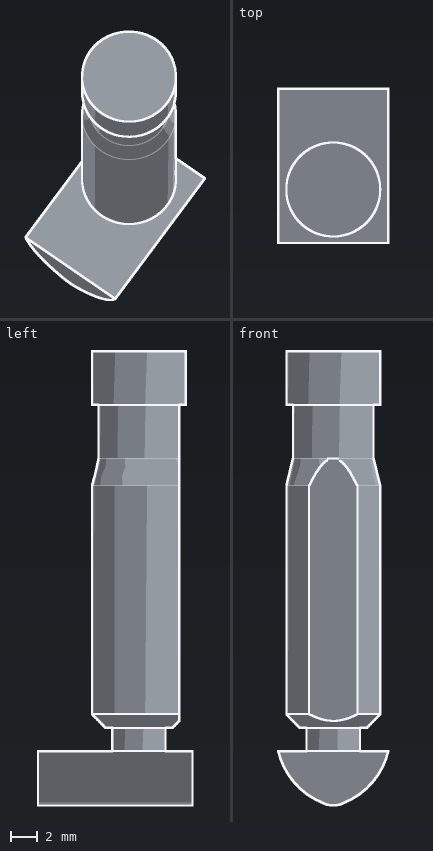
import cadquery as cq

total_height = 33.8
base_height = 4.05
stem_height = 1.72
lower_chamfer_height = 1.0
head_height = 4.0
neck_height = 4.0
shoulder_height = 2.03

body_radius = 7.0 / 2
neck_radius = 3.0
lower_end_radius = 2.5
stem_radius = 2.0

flat_distance = neck_radius

base_width = 8.2
base_length = 11.5
base_front_y = -4.0
tip_half_width = 0.8
tip_rise = 0.2
flank_mid_half_width = 2.65
flank_mid_height = 1.42

body_bottom = base_height + stem_height
chamfer_top = body_bottom + lower_chamfer_height
head_bottom = total_height - head_height
neck_bottom = head_bottom - neck_height
shoulder_bottom = neck_bottom - shoulder_height


def make_pin():
    """Revolve the stem, body, neck and head as one stepped pin."""
    profile = [
        (0, base_height),
        (stem_radius, base_height),
        (stem_radius, body_bottom),
        (lower_end_radius, body_bottom),
        (body_radius, chamfer_top),
        (body_radius, shoulder_bottom),
        (neck_radius, neck_bottom),
        (neck_radius, head_bottom),
        (body_radius, head_bottom),
        (body_radius, total_height),
        (0, total_height),
    ]
    return cq.Workplane("XZ").polyline(profile).close().revolve(360, (0, 0, 0), (0, 1, 0))


def make_flat_cutter():
    """Block that removes the -Y side of the body, below the neck."""
    return cq.Workplane("XY").box(
        2 * body_radius, body_radius, neck_bottom - body_bottom, centered=(True, False, False)
    ).translate((0, -flat_distance - body_radius, body_bottom))


def make_base():
    """Keel with a flat top, two curved flanks and a rounded tip."""
    half_width = base_width / 2
    return (
        cq.Workplane("XZ", origin=(0, base_front_y, 0))
        .moveTo(-half_width, base_height)
        .lineTo(half_width, base_height)
        .threePointArc((flank_mid_half_width, flank_mid_height), (tip_half_width, tip_rise))
        .threePointArc((0, 0), (-tip_half_width, tip_rise))
        .threePointArc((-flank_mid_half_width, flank_mid_height), (-half_width, base_height))
        .close()
        .extrude(-base_length)
    )


result = make_pin().cut(make_flat_cutter()).union(make_base())